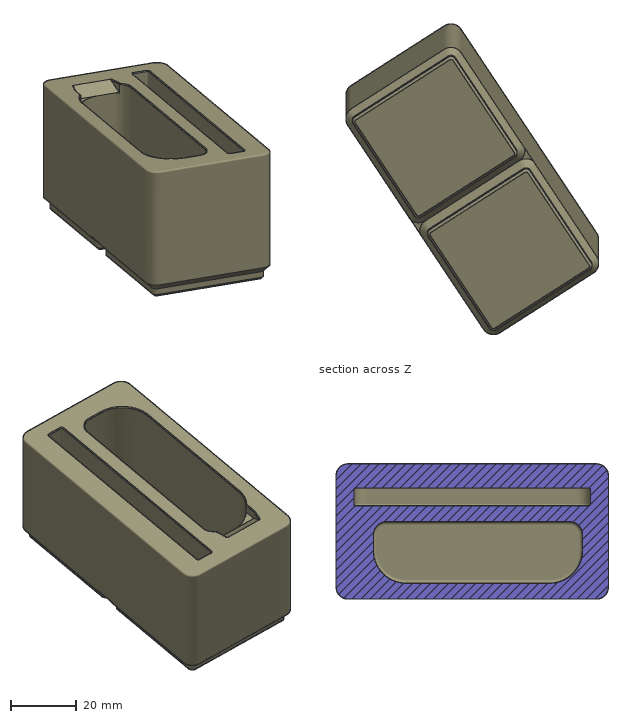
import cadquery as cq
length = 83.5
width = 41.5
height = 42.0
corner_radius = 3.75
rim_fillet = 0.5

cell_pitch = length - width
foot_height = 5.0
foot_flare = 2.3
foot_chamfer = 0.8
foot_radius = 1.5
foot_size = cell_pitch - 2 * foot_flare

floor_z = 7.0
cavity_depth = height - floor_z
mouth_chamfer = 0.29

slot_length = 72.3
slot_width = 5.35
slot_y = 10.6
slot_end_radius = 4.0
slot_edge_fillet = 0.4

pocket_length = 64.0
pocket_width = 18.8
pocket_x = 1.75
pocket_y = -6.4
pocket_back_radius = 4.0
pocket_front_radius = 10.0
pocket_floor_fillet = 1.0

notch_length = 3.75
notch_depth = 3.0
notch_outer_width = 12.6
notch_inner_width = 14.45


def rounded_block(size_x, size_y, size_z, radius):
    """Block standing on Z = 0 with rounded vertical edges."""
    block = cq.Workplane("XY").box(size_x, size_y, size_z, centered=(True, True, False))
    return block.edges("|Z").fillet(radius)


def make_outline_block():
    block = rounded_block(length, width, height, corner_radius)
    return block.faces(">Z").edges().fillet(rim_fillet)


def make_foot():
    flare_z = foot_height - foot_flare
    foot = rounded_block(foot_size, foot_size, flare_z, foot_radius)
    foot = foot.faces("<Z").edges().chamfer(foot_chamfer)
    outline = cq.Sketch().rect(foot_size, foot_size).vertices().fillet(foot_radius)
    flare = cq.Workplane("XY", origin=(0, 0, flare_z)).placeSketch(outline).extrude(foot_flare, taper=-45)
    return foot.union(flare)


def make_slot():
    slot = cq.Workplane("XY").box(slot_length, slot_width, cavity_depth, centered=(True, True, False))
    slot = slot.faces("<Z").edges("|Y").fillet(slot_end_radius)
    slot = slot.faces("<Y or >Y").edges("not >Z").fillet(slot_edge_fillet)
    return slot.translate((0, slot_y, floor_z))


def make_pocket():
    pocket = cq.Workplane("XY").box(pocket_length, pocket_width, cavity_depth, centered=(True, True, False))
    pocket = pocket.edges("|Z and >Y").fillet(pocket_back_radius)
    pocket = pocket.edges("|Z and <Y").fillet(pocket_front_radius)
    pocket = pocket.faces("<Z").edges().fillet(pocket_floor_fillet)
    return pocket.translate((pocket_x, pocket_y, floor_z))


def make_notch():
    ramp_end = pocket_x - pocket_length / 2
    ramp_start = ramp_end - notch_length
    shelf_end = ramp_end + pocket_front_radius
    shelf_z = height - notch_depth
    profile = (
        cq.Workplane("XZ", origin=(0, pocket_y, 0))
        .moveTo(ramp_start, height)
        .lineTo(ramp_start, height - mouth_chamfer)
        .lineTo(ramp_end, shelf_z)
        .lineTo(shelf_end, shelf_z)
        .lineTo(shelf_end, height)
        .close()
        .extrude(notch_inner_width / 2, both=True)
    )
    half_outer = notch_outer_width / 2
    half_inner = notch_inner_width / 2
    plan = (
        cq.Workplane("XY", origin=(0, pocket_y, shelf_z))
        .moveTo(ramp_start, -half_outer)
        .lineTo(ramp_end, -half_inner)
        .lineTo(shelf_end, -half_inner)
        .lineTo(shelf_end, half_inner)
        .lineTo(ramp_end, half_inner)
        .lineTo(ramp_start, half_outer)
        .close()
        .extrude(notch_depth)
    )
    return profile.intersect(plan)


outline_block = make_outline_block()
above_feet = cq.Workplane("XY").box(length, width, height).translate((0, 0, foot_height + height / 2))
result = outline_block.intersect(above_feet)
for side in (-1, 1):
    foot = make_foot().translate((side * cell_pitch / 2, 0, 0))
    result = result.union(foot.intersect(outline_block))

for cavity in (make_slot(), make_pocket(), make_notch()):
    result = result.cut(cavity)

for mouth in result.faces(">Z").val().innerWires():
    flare_base = mouth.translate(cq.Vector(0, 0, -mouth_chamfer))
    flare = cq.Workplane("XY", origin=(0, 0, height - mouth_chamfer)).newObject([flare_base]).toPending()
    result = result.cut(flare.extrude(mouth_chamfer, taper=-45))